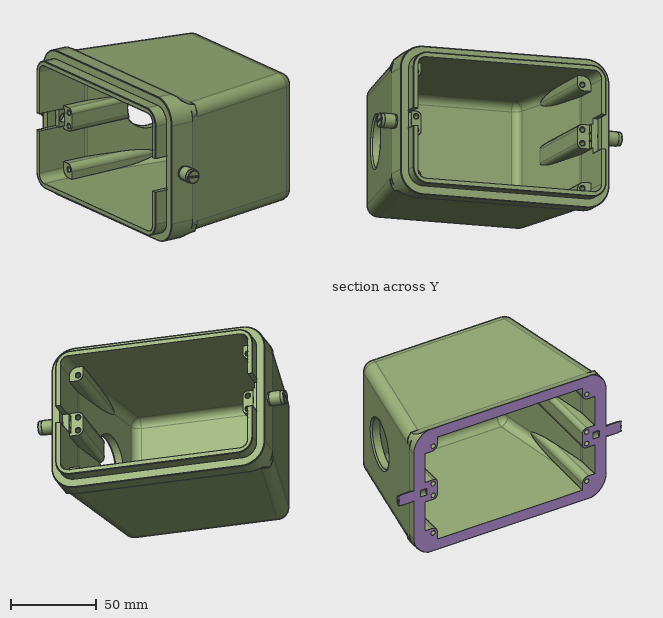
import cadquery as cq
import math


total_length = 150.8
total_depth = 106.0
flange_height = 88.5
flange_width = 130.4
flange_radius = 14.0
flange_straight = 10.0
flange_blend_end = 18.8
flange_crest_radius = 1.5

rim_width = 120.6
rim_height = 78.3
rim_radius = 9.0
rim_depth = 8.0

hood_height = 78.3
hood_radius = 7.0
hood_shoulder_y = 15.0
back_half_width = 49.4

edge_break = 0.4

wall = 2.9
back_wall = 4.0
cavity_radius = 5.0
cavity_break_y = 25.0
cavity_break_half_width = 57.1
cavity_break_radius = 12.0
cavity_back_half_width = 44.5
cavity_back_half_height = 35.4

pillar_front_y = 9.2
pillar_inner_x = 48.9
pillar_hole_x = 52.0
pillar_mouth_diameter = 3.4
pillar_hole_depth = 10.0
pillar_hole_chamfer = 0.3
corner_pillar_inner_z = 27.3
corner_pillar_radius = 4.2
corner_hole_z = 30.9
centre_pillar_height = 14.3
centre_pillar_radius = 3.0
centre_hole_z = 4.1

pad_inner_x = 56.4
left_slot_height = 10.7
right_slot_height = 20.7
slot_end_y = 5.5

entry_diameter = 30.7
entry_chamfer = 1.0
entry_y = 66.0
entry_length = 17.0

pin_y = 8.7
pin_diameter = 8.6
pin_neck_diameter = 8.0
pin_neck_length = 1.0
pin_tip_diameter = 8.2
pin_tip_length = 2.3
pin_tip_chamfer = 0.4
pin_root_depth = 2.0
pin_pocket_diameter = 5.4
pin_slot_width = 0.9
pin_slot_depth = 0.6
pin_slot_tilt = 6.0

back_y = total_depth - rim_depth
flange_half_width = flange_width / 2
flange_half_height = flange_height / 2
hood_half_height = hood_height / 2
side_slope = (flange_half_width - back_half_width) / (back_y - hood_shoulder_y)
side_angle = math.degrees(math.atan(side_slope))
cavity_back_y = back_y - back_wall
opening_half_width = rim_width / 2 - wall
opening_half_height = rim_height / 2 - wall


def box(x0, x1, y0, y1, z0, z1):
    return cq.Workplane("XY").box(x1 - x0, y1 - y0, z1 - z0, centered=False).translate((x0, y0, z0))


def rounded_block(width, height, radius, y0, y1):
    """Block along Y with its four long edges rounded and its front edge broken."""
    block = box(-width / 2, width / 2, y0, y1, -height / 2, height / 2)
    return block.edges("|Y").fillet(radius).faces("<Y").chamfer(edge_break)


def plan_prism(right_side, half_height):
    """Prism along Z, symmetric in X, from the points of its right half, front to back."""
    left_side = [(-x, y) for x, y in reversed(right_side)]
    outline = cq.Workplane("XY").polyline(right_side + left_side).close()
    return outline.extrude(half_height, both=True)


def hood():
    """Tapered body behind the flange with rounded long and back edges."""
    right_side = [(flange_half_width, hood_shoulder_y), (back_half_width, back_y)]
    body = plan_prism(right_side, hood_half_height)
    rounded_edges = cq.selectors.BoxSelector(
        (-flange_width, hood_shoulder_y + 1, -flange_height),
        (flange_width, total_depth, flange_height),
    )
    return body.edges(rounded_edges).fillet(hood_radius)


def flange():
    """Rounded collar whose top and bottom sweep back into the hood in a hollow arc."""
    rise = flange_half_height - hood_half_height
    run = flange_blend_end - flange_straight
    blend_radius = (rise**2 + run**2) / (2 * rise)
    half_sweep = math.atan2(rise, run)
    mid_y = flange_blend_end - blend_radius * math.sin(half_sweep)
    mid_z = hood_half_height + blend_radius * (1 - math.cos(half_sweep))
    profile = (
        cq.Workplane("YZ")
        .moveTo(0, -flange_half_height)
        .lineTo(flange_straight, -flange_half_height)
        .threePointArc((mid_y, -mid_z), (flange_blend_end, -hood_half_height))
        .lineTo(flange_blend_end, hood_half_height)
        .threePointArc((mid_y, mid_z), (flange_straight, flange_half_height))
        .lineTo(0, flange_half_height)
        .close()
        .extrude(flange_width, both=True)
    )
    crests = cq.selectors.BoxSelector(
        (-flange_width, flange_straight - 1, -flange_height),
        (flange_width, flange_straight + 1, flange_height),
    )
    profile = profile.edges(crests).fillet(flange_crest_radius)
    flange_end_half_width = flange_half_width - side_slope * (flange_blend_end - hood_shoulder_y)
    plan = plan_prism(
        [
            (flange_half_width, 0),
            (flange_half_width, hood_shoulder_y),
            (flange_end_half_width, flange_blend_end),
        ],
        flange_height,
    )
    collar = rounded_block(flange_width, flange_height, flange_radius, 0, flange_blend_end)
    return collar.intersect(profile).intersect(plan)


def cavity():
    """Hollow with drafted walls, following the taper of the hood behind the break line."""
    right_side = [
        (opening_half_width, -rim_depth),
        (cavity_break_half_width, cavity_break_y),
        (cavity_back_half_width, cavity_back_y),
    ]
    break_edges = cq.selectors.BoxSelector(
        (-flange_width, cavity_break_y - 1, -1),
        (flange_width, cavity_break_y + 1, 1),
    )
    plan = plan_prism(right_side, flange_height).edges("|Z").edges(break_edges)
    plan = plan.fillet(cavity_break_radius)
    profile = (
        cq.Workplane("YZ")
        .moveTo(-rim_depth, -opening_half_height)
        .lineTo(cavity_back_y, -cavity_back_half_height)
        .lineTo(cavity_back_y, cavity_back_half_height)
        .lineTo(-rim_depth, opening_half_height)
        .close()
        .extrude(flange_width, both=True)
    )
    hollow = plan.intersect(profile)
    rounded = [e for e in hollow.edges().vals() if is_cavity_corner(e)]
    return hollow.newObject(rounded).fillet(cavity_radius)


def is_cavity_corner(edge):
    """True for the edges of the back face and those running front to back along the corners."""
    centre = edge.Center()
    is_at_back = abs(centre.y - cavity_back_y) < 0.1
    is_front_to_back = abs(edge.tangentAt(0).y) > 0.5
    return is_at_back or is_front_to_back


def pillar_hole(x, z):
    """Blind screw hole with a chamfered mouth."""
    mouth_radius = pillar_mouth_diameter / 2
    bore_radius = mouth_radius - pillar_hole_chamfer
    outline = [
        (0, 0),
        (mouth_radius, 0),
        (bore_radius, pillar_hole_chamfer),
        (bore_radius, pillar_hole_depth),
        (0, pillar_hole_depth),
    ]
    hole = cq.Workplane("XY").polyline(outline).close().revolve(360, (0, 0, 0), (0, 1, 0))
    return hole.translate((x, pillar_front_y, z))


def pillars(side, hollow):
    """Two corner pillars and a centre pillar on one side wall; side is -1 or 1."""
    x0, x1 = sorted((side * pillar_inner_x, side * flange_half_width))
    inner_edges = "|Y and <X" if side > 0 else "|Y and >X"
    half_height = centre_pillar_height / 2
    group = (
        box(x0, x1, pillar_front_y, back_y, -half_height, half_height)
        .edges(inner_edges)
        .fillet(centre_pillar_radius)
    )
    for z_side in (-1, 1):
        z0, z1 = sorted((z_side * corner_pillar_inner_z, z_side * flange_half_height))
        inner_corner = inner_edges + (" and <Z" if z_side > 0 else " and >Z")
        corner = box(x0, x1, pillar_front_y, back_y, z0, z1)
        group = group.union(corner.edges(inner_corner).fillet(corner_pillar_radius))
    group = group.intersect(hollow)
    for z_side in (-1, 1):
        for z in (corner_hole_z, centre_hole_z):
            group = group.cut(pillar_hole(side * pillar_hole_x, z_side * z))
    return group


def wall_block(side, height, y0, y1):
    """Block at mid-height of a side wall, from the pad face out to the outside of the rim."""
    x0, x1 = sorted((side * pad_inner_x, side * rim_width / 2))
    return box(x0, x1, y0, y1, -height / 2, height / 2)


def pads():
    """Thin pads on both walls, between the end of the rim slots and the centre pillars."""
    left_pad = wall_block(-1, left_slot_height, slot_end_y, pillar_front_y)
    right_pad = wall_block(1, centre_pillar_height, slot_end_y, pillar_front_y)
    return left_pad.union(right_pad)


def rim_slots():
    """Slots through both sides of the rim, sunk into the wall behind the flange face."""
    left_slot = wall_block(-1, left_slot_height, -rim_depth, slot_end_y)
    right_slot = wall_block(1, right_slot_height, -rim_depth, slot_end_y)
    return left_slot.union(right_slot)


def cable_entry():
    """Round entry square to the tapered left wall, with a chamfered mouth."""
    wall_x = -flange_half_width + side_slope * (entry_y - hood_shoulder_y)
    bore = cq.Workplane("YZ").circle(entry_diameter / 2).extrude(entry_length)
    mouth = cq.Solid.makeCone(
        entry_diameter / 2 + entry_chamfer,
        entry_diameter / 2,
        entry_chamfer,
        dir=cq.Vector(1, 0, 0),
    )
    entry = bore.union(cq.Workplane(mouth))
    return entry.rotate((0, 0, 0), (0, 0, 1), -side_angle).translate((wall_x, entry_y, 0))


def pin(side):
    """Locking pin with a neck at the wall and a stepped, chamfered, slotted tip."""
    end_x = total_length / 2
    tip_x = end_x - pin_tip_length
    neck_x = flange_half_width + pin_neck_length
    outline = [
        (flange_half_width - pin_root_depth, 0),
        (flange_half_width - pin_root_depth, pin_neck_diameter / 2),
        (neck_x, pin_neck_diameter / 2),
        (neck_x, pin_diameter / 2),
        (tip_x, pin_diameter / 2),
        (tip_x, pin_tip_diameter / 2),
        (end_x - pin_tip_chamfer, pin_tip_diameter / 2),
        (end_x, pin_tip_diameter / 2 - pin_tip_chamfer),
        (end_x, 0),
    ]
    turned = cq.Workplane("XY").polyline(outline).close().revolve(360, (0, 0, 0), (1, 0, 0))
    slot = box(
        end_x - pin_slot_depth,
        end_x,
        -pin_diameter,
        pin_diameter,
        -pin_slot_width / 2,
        pin_slot_width / 2,
    )
    turned = turned.cut(slot.rotate((0, 0, 0), (1, 0, 0), -pin_slot_tilt))
    if side < 0:
        turned = turned.mirror("YZ")
    return turned.translate((0, pin_y, 0))


def pin_pockets():
    """Round pockets in the inside of both walls, in line with the pins."""
    pocket = cq.Workplane("YZ").center(pin_y, 0).circle(pin_pocket_diameter / 2)
    right_pocket = pocket.extrude(rim_width / 2 - pad_inner_x).translate((pad_inner_x, 0, 0))
    return right_pocket.union(right_pocket.mirror("YZ"))


hollow = cavity()
rim = rounded_block(rim_width, rim_height, rim_radius, -rim_depth, flange_straight)
shell = hood().union(flange()).union(rim).cut(hollow)
shell = shell.union(pillars(-1, hollow)).union(pillars(1, hollow))
shell = shell.union(pads()).cut(rim_slots()).cut(cable_entry()).cut(pin_pockets())
result = shell.union(pin(-1)).union(pin(1))